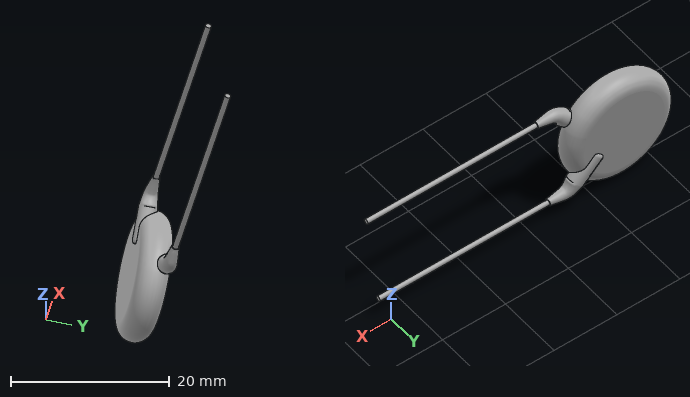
import cadquery as cq
import math

disc_diameter = 17.0
disc_thickness = 4.2
disc_radius = disc_diameter / 2
rim_radius = disc_thickness / 2

lead_diameter = 0.8
lead_tip_x = 38.48
lead_z = 6.1
lead_y = 1.25

sleeve_radius = 1.25
sleeve_length = 4.9
sleeve_end_fillet = 0.5
sleeve_angle = 45.0
sleeve_top_x = 7.29
sleeve_top_z = 4.91

neck_end_radius = 0.5
neck_end_x = 11.5
bend_radius = 2.0
neck_sections = 9

bend_angle = math.radians(sleeve_angle)
sleeve_direction = cq.Vector(math.cos(bend_angle), 0, math.sin(bend_angle))
bend_rise = bend_radius * (1 - math.cos(bend_angle))
first_run = (lead_z - bend_rise - sleeve_top_z) / math.sin(bend_angle)
bend_start_x = sleeve_top_x + first_run * math.cos(bend_angle)
bend_end_x = bend_start_x + bend_radius * math.sin(bend_angle)
bend_length = bend_radius * bend_angle
last_run = neck_end_x - bend_end_x
neck_length = first_run + bend_length + last_run


def make_disc():
    """Solid of revolution about Y with a half-round rim."""
    flat_radius = disc_radius - rim_radius
    return (
        cq.Workplane("XY")
        .moveTo(0, -rim_radius)
        .lineTo(flat_radius, -rim_radius)
        .threePointArc((disc_radius, 0), (flat_radius, rim_radius))
        .lineTo(0, rim_radius)
        .close()
        .revolve(360, (0, 0, 0), (0, 1, 0))
    )


def make_sleeve():
    """Cylinder running down from the neck across the disc, with a rounded lower end."""
    top = cq.Vector(sleeve_top_x, -lead_y, sleeve_top_z)
    return (
        cq.Workplane(cq.Plane(top, (0, 1, 0), sleeve_direction * -1))
        .circle(sleeve_radius)
        .extrude(sleeve_length)
        .faces("<X")
        .fillet(sleeve_end_fillet)
    )


def neck_circle(distance):
    """Cross-section circle of the neck at a distance along its centreline."""
    radius = sleeve_radius + (neck_end_radius - sleeve_radius) * distance / neck_length
    bend_distance = min(max(distance - first_run, 0), bend_length)
    before_bend = min(distance, first_run)
    after_bend = max(distance - first_run - bend_length, 0)
    slope = bend_angle - bend_distance / bend_radius
    center = cq.Vector(
        bend_end_x - bend_radius * math.sin(slope) + after_bend,
        -lead_y,
        lead_z - bend_radius * (1 - math.cos(slope)),
    )
    center -= sleeve_direction * (first_run - before_bend)
    return cq.Wire.makeCircle(radius, center, cq.Vector(math.cos(slope), 0, math.sin(slope)))


def make_neck():
    """Tapered bend lofted between the sleeve and the lead."""
    step = neck_length / (neck_sections - 1)
    sections = [neck_circle(i * step) for i in range(neck_sections)]
    return cq.Workplane(cq.Solid.makeLoft(sections))


def make_lead():
    """Straight round wire from the end of the neck to its tip."""
    return (
        cq.Workplane("YZ", origin=(neck_end_x, -lead_y, lead_z))
        .circle(lead_diameter / 2)
        .extrude(lead_tip_x - neck_end_x)
    )


terminal = make_sleeve().union(make_neck()).union(make_lead())
opposite_terminal = terminal.rotate((0, 0, 0), (1, 0, 0), 180)

result = make_disc().union(terminal).union(opposite_terminal)